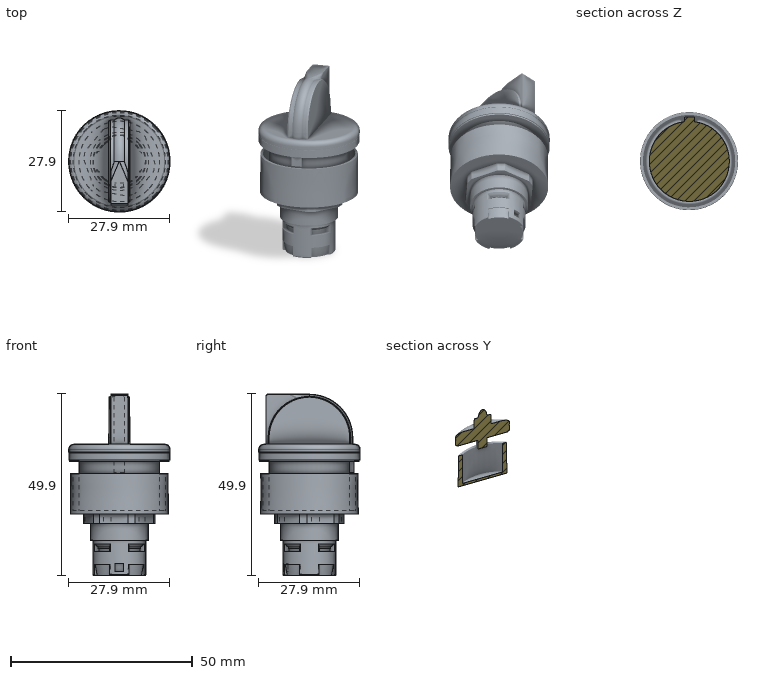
import cadquery as cq
import math

TAIL_CHAMFER = 0.3
TAIL_TOP = 9.7
COLLAR_TOP = 14.3
NUT_TOP = 16.9
BEZEL_TOP = 28.0
FLANGE_BOTTOM = 31.4
FLANGE_STEP_TOP = 31.8
GROOVE_BOTTOM = 33.7
GROOVE_TOP = 34.0
FLANGE_TOP = 36.1
PART_TOP = 49.85

TAIL_D = 14.6
COLLAR_D = 16.0
BEZEL_BOTTOM_D = 27.0
BEZEL_TOP_D = 26.8
BEZEL_BORE_D = 25.4
BEZEL_FLOOR = 1.0
NECK_D = 22.15
FLANGE_STEP_D = 27.4
FLANGE_LOWER_D = 27.85
FLANGE_D = 27.9
GROOVE_D = 27.7
FLANGE_ROUNDING = 1.45

NUT_ACROSS_FLATS = 18.0
NUT_ACROSS_CORNERS = 19.55
NUT_TURN = 20.0
HALF_FACET = 30.0

TAB_WIDTH = 2.9
TAB_REACH = 12.3
TAB_BOTTOM = 28.3

LATCH_ANGLES = (45, 135, 225, 315)
WINDOW_BOTTOM = 6.55
WINDOW_TOP = 8.7
WINDOW_WIDTH = 6.2
WINDOW_FLOOR_R = 6.25
WINDOW_INNER_TOP = 7.85
WINDOW_LIP_Z = 7.5
WINDOW_LIP_R = 6.4
WINDOW_INNER_WIDTH = 4.1
NOTCH_WIDTH = 5.87
NOTCH_INNER_WIDTH = 5.4
NOTCH_HEIGHT = 3.0
NOTCH_TOP_R = 7.1
NOTCH_BOTTOM_R = 6.5

POCKET_WIDTH = 2.36
POCKET_BOTTOM = 1.15
POCKET_TOP = 3.3
POCKET_DEPTH = 1.4

GRIP_R = 11.95
GRIP_AXIS_Z = PART_TOP - GRIP_R
BAR_WIDTH = 4.7
BAR_CHAMFER = 0.4
CROWN_WIDTH = 3.16
CROWN_DROP = 0.8
BLEND_LENGTH = 5.4
BLEND_FLANK_DROP = 2.7
BLEND_EDGE = 0.05
CHEEK_R = 11.35
CHEEK_FACE_R = 11.05
CHEEK_EDGE_X = 2.47
CHEEK_BASE_X = 2.95
CHEEK_TOP_X = 2.8
GRIP_ROOT = FLANGE_TOP - 1.0
RIM_TAPER_ROOM = 1.0


def turned(points):
    """Solid of revolution about Z from (radius, z) points."""
    return cq.Workplane("XZ").polyline(points).close().revolve(360, (0, 0, 0), (0, 1, 0))


def disc(diameter, bottom, top):
    return cq.Workplane("XY").workplane(offset=bottom).circle(diameter / 2).extrude(top - bottom)


def make_nut():
    def hexagon(across, turn):
        circumscribed = across / math.cos(math.radians(HALF_FACET))
        prism = cq.Workplane("XY").polygon(6, circumscribed).extrude(NUT_TOP - COLLAR_TOP)
        return prism.rotate((0, 0, 0), (0, 0, 1), turn)

    flats = hexagon(NUT_ACROSS_FLATS, NUT_TURN - HALF_FACET)
    corners = hexagon(NUT_ACROSS_CORNERS, NUT_TURN)
    return flats.intersect(corners).translate((0, 0, COLLAR_TOP))


def make_bezel():
    shell = turned([
        (0, NUT_TOP),
        (BEZEL_BOTTOM_D / 2, NUT_TOP),
        (BEZEL_TOP_D / 2, BEZEL_TOP),
        (0, BEZEL_TOP),
    ])
    return shell.cut(disc(BEZEL_BORE_D, NUT_TOP + BEZEL_FLOOR, BEZEL_TOP))


def make_flange():
    step = disc(FLANGE_STEP_D, FLANGE_BOTTOM, FLANGE_STEP_TOP)
    groove = disc(GROOVE_D, GROOVE_BOTTOM, GROOVE_TOP)
    lower = disc(FLANGE_LOWER_D, FLANGE_STEP_TOP, GROOVE_BOTTOM)
    upper = disc(FLANGE_D, GROOVE_TOP, FLANGE_TOP).faces(">Z").edges().fillet(FLANGE_ROUNDING)
    return step.union(lower).union(groove).union(upper)


def make_tab():
    height = FLANGE_BOTTOM - TAB_BOTTOM
    tab = cq.Workplane("XY").box(TAB_WIDTH, TAB_REACH, height, centered=(True, False, False))
    return tab.translate((0, 0, TAB_BOTTOM))


def closing_walls(outer_r, outer_width, inner_r, inner_width):
    """Wedge along +X whose side walls span the two widths at the two radii."""
    outer_x = math.sqrt(outer_r ** 2 - (outer_width / 2) ** 2)
    inner_x = math.sqrt(inner_r ** 2 - (inner_width / 2) ** 2)
    slope = (outer_width - inner_width) / 2 / (outer_x - inner_x)
    near_x = inner_x / 2
    near_half = inner_width / 2 - slope * (inner_x - near_x)
    far_x = TAIL_D
    far_half = outer_width / 2 + slope * (far_x - outer_x)
    return (
        cq.Workplane("XY")
        .polyline([(near_x, -near_half), (far_x, -far_half), (far_x, far_half), (near_x, near_half)])
        .close()
        .extrude(TAIL_TOP)
    )


def make_window_cutter():
    """Window along +X with a cylindrical floor, a sloping roof and a small lip under the roof."""
    ring = turned([
        (WINDOW_FLOOR_R, WINDOW_BOTTOM),
        (TAIL_D / 2, WINDOW_BOTTOM),
        (TAIL_D / 2, WINDOW_TOP),
        (WINDOW_LIP_R, WINDOW_INNER_TOP),
        (WINDOW_LIP_R, WINDOW_LIP_Z),
        (WINDOW_FLOOR_R, WINDOW_LIP_Z),
    ])
    return ring.intersect(closing_walls(TAIL_D / 2, WINDOW_WIDTH, WINDOW_FLOOR_R, WINDOW_INNER_WIDTH))


def make_notch_cutter():
    """End notch along +X with a conical floor that deepens downward."""
    ring = turned([
        (NOTCH_BOTTOM_R, 0),
        (TAIL_D / 2, 0),
        (TAIL_D / 2, NOTCH_HEIGHT),
        (NOTCH_TOP_R, NOTCH_HEIGHT),
    ])
    return ring.intersect(closing_walls(TAIL_D / 2, NOTCH_WIDTH, NOTCH_BOTTOM_R, NOTCH_INNER_WIDTH))


def make_tail():
    tail = disc(TAIL_D, 0, TAIL_TOP).faces("<Z").edges().chamfer(TAIL_CHAMFER, TAIL_CHAMFER / 2)
    cutters = [make_window_cutter(), make_notch_cutter()]
    for angle in LATCH_ANGLES:
        for cutter in cutters:
            tail = tail.cut(cutter.rotate((0, 0, 0), (0, 0, 1), angle))
    pocket = cq.Workplane("XY").box(
        POCKET_WIDTH, 2 * POCKET_DEPTH, POCKET_TOP - POCKET_BOTTOM, centered=(True, True, False)
    )
    return tail.cut(pocket.translate((0, -TAIL_D / 2, POCKET_BOTTOM)))


def make_cheeks():
    """Rounded slab with bevelled rims and drafted outer faces."""
    bevel = math.degrees(math.atan((CHEEK_R - CHEEK_FACE_R) / (CHEEK_BASE_X - CHEEK_EDGE_X)))
    root = GRIP_ROOT - RIM_TAPER_ROOM

    def outline():
        return (
            cq.Workplane("YZ")
            .moveTo(-CHEEK_R, root)
            .lineTo(-CHEEK_R, GRIP_AXIS_Z)
            .threePointArc((0, GRIP_AXIS_Z + CHEEK_R), (CHEEK_R, GRIP_AXIS_Z))
            .lineTo(CHEEK_R, root)
            .close()
        )

    half = outline().extrude(CHEEK_EDGE_X)
    rim = outline().extrude(CHEEK_BASE_X - CHEEK_EDGE_X, taper=bevel)
    half = half.union(rim.translate((CHEEK_EDGE_X, 0, 0)))
    slab = half.union(half.mirror("YZ"))
    draft = (
        cq.Workplane("XZ")
        .polyline([
            (-CHEEK_BASE_X, GRIP_ROOT),
            (CHEEK_BASE_X, GRIP_ROOT),
            (CHEEK_TOP_X, PART_TOP),
            (-CHEEK_TOP_X, PART_TOP),
        ])
        .close()
        .extrude(GRIP_R, both=True)
    )
    return slab.intersect(draft)


def make_crown():
    """Round-topped rib that follows the grip arc on the +Y half."""
    half = CROWN_WIDTH / 2
    shoulder = GRIP_R - CROWN_DROP

    def section():
        return (
            cq.Workplane("XY", origin=(0, 0, GRIP_AXIS_Z))
            .moveTo(-half, 0)
            .lineTo(-half, shoulder)
            .threePointArc((0, GRIP_R), (half, shoulder))
            .lineTo(half, 0)
            .close()
        )

    arched = section().revolve(90, (0, 0, 0), (1, 0, 0))
    straight = section().extrude(GRIP_ROOT - GRIP_AXIS_Z)
    return arched.union(straight)


def make_bar():
    """Square pointer on the -Y half, blended into the round crown."""
    pointer = cq.Workplane("XY").box(
        BAR_WIDTH, GRIP_R - BLEND_LENGTH, PART_TOP - GRIP_ROOT, centered=(True, False, False)
    )
    pointer = pointer.translate((0, -GRIP_R, GRIP_ROOT))
    pointer = pointer.faces("<Y").edges(">Z").chamfer(BAR_CHAMFER)

    bar_half = BAR_WIDTH / 2
    crown_half = CROWN_WIDTH / 2
    crown_edge_z = PART_TOP - CROWN_DROP
    flank_z = PART_TOP - BLEND_FLANK_DROP
    round_end = (
        cq.Workplane("XZ")
        .moveTo(-bar_half, GRIP_ROOT)
        .lineTo(-bar_half, flank_z)
        .threePointArc((-crown_half, crown_edge_z), (-BLEND_EDGE, PART_TOP))
        .lineTo(BLEND_EDGE, PART_TOP)
        .threePointArc((crown_half, crown_edge_z), (bar_half, flank_z))
        .lineTo(bar_half, GRIP_ROOT)
        .close()
    )
    square_end = (
        cq.Workplane("XZ", origin=(0, -BLEND_LENGTH, 0))
        .moveTo(-bar_half, GRIP_ROOT)
        .lineTo(-bar_half, PART_TOP - BLEND_EDGE)
        .lineTo(BLEND_EDGE - bar_half, PART_TOP)
        .lineTo(bar_half - BLEND_EDGE, PART_TOP)
        .lineTo(bar_half, PART_TOP - BLEND_EDGE)
        .lineTo(bar_half, GRIP_ROOT)
        .close()
    )
    blend = cq.Workplane(cq.Solid.makeLoft([round_end.val(), square_end.val()], True))
    return pointer.union(blend)


result = (
    make_tail()
    .union(disc(COLLAR_D, TAIL_TOP, COLLAR_TOP))
    .union(make_nut())
    .union(make_bezel())
    .union(disc(NECK_D, NUT_TOP, FLANGE_BOTTOM))
    .union(make_tab())
    .union(make_flange())
    .union(make_cheeks())
    .union(make_crown())
    .union(make_bar())
)